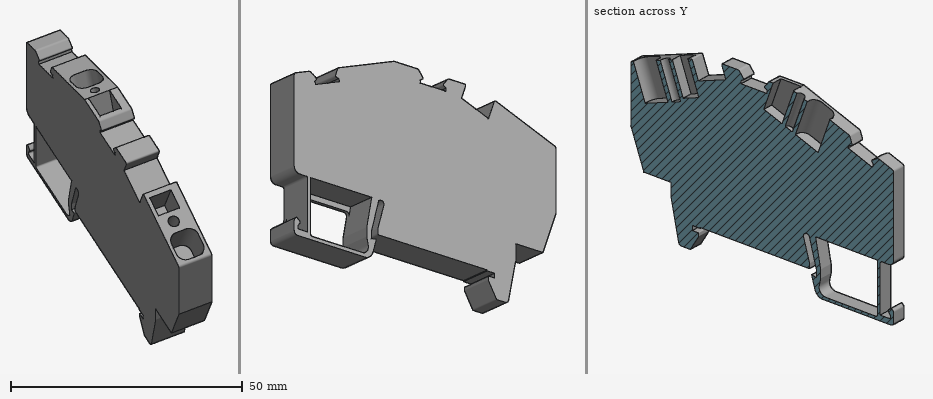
import cadquery as cq
import math

length = 74.0
thickness = 8.0
height = 48.0

slope_deg = 20.0
slope_sin = math.sin(math.radians(slope_deg))
slope_cos = math.cos(math.radians(slope_deg))
slope_tan = slope_sin / slope_cos
ridge_x = 28.2
right_corner_z = 40.2

groove_depth = 3.1
groove_floor_half = 3.59
groove_lip_half = 2.75
groove_lip_z = 1.25
groove_lip_radius = 0.3
groove_undercut_z = 0.7
groove_mouth_half = 4.2
groove_mouth_radius = 0.75
top_groove_x = 39.3
left_groove_distance = 21.1

step_top_x = 48.6
step_depth = 3.8
step_floor_length = 8.1
step_wall_height = 5.2
step_radius = 0.4
right_corner_radius = 0.6
left_corner_radius = 0.7

housing_bottom = 14.5
housing_corner_radius = 1.5
right_side_bottom = 24.6
right_ledge_x = 62.7
rail_seat_z = 6.2

post_left = 3.8
post_right = 4.65
foot_floor = 0.9
hook_floor = 1.55
back_web_thickness = 0.9
loop_web_bottom = 13.2
loop_web_radius = 0.75
latch_x = 20.5
latch_lean_start_z = 7.1
latch_lean_end_x = 21.9
latch_nose_z = 4.9
hook_web_top = 6.2
hook_web_radius = 1.0
hook_left = 0.7
post_corner_radius = 0.4

opening_depth = 9.6
entry_length = 6.65
entry_width = 6.45
entry_radius = 2.1
entry_y = thickness / 2
release_width = 5.1
release_y = 3.5


def rounded_outline(corners):
    """Closed wire on the XZ plane through (x, z, radius) corners; radius 0 leaves a corner sharp."""
    path = None
    for index, (x, z, radius) in enumerate(corners):
        corner = cq.Vector(x, z)
        to_previous = (cq.Vector(*corners[index - 1][:2]) - corner).normalized()
        to_next = (cq.Vector(*corners[(index + 1) % len(corners)][:2]) - corner).normalized()
        half_angle = to_previous.getAngle(to_next) / 2
        setback = radius / math.tan(half_angle)
        start = corner + to_previous * setback
        if path is None:
            path = cq.Workplane("XZ").moveTo(start.x, start.y)
        else:
            path = path.lineTo(start.x, start.y)
        if radius > 0:
            bisector = (to_previous + to_next).normalized()
            middle = corner + bisector * (radius / math.sin(half_angle) - radius)
            end = corner + to_next * setback
            path = path.threePointArc((middle.x, middle.y), (end.x, end.y))
    return path.close()


def plate(corners, front=0.0, back=thickness):
    """Rounded outline extruded along Y from front to back."""
    return rounded_outline(corners).extrude(front - back).translate((0, front, 0))


def groove_corners(surface_x, surface_z, tilt_deg):
    """Corners of a marker groove, left to right, centred on a surface point and tilted with it."""
    left_half = [
        (-groove_mouth_half, 0, groove_mouth_radius),
        (-groove_lip_half, groove_lip_z - groove_depth, groove_lip_radius),
        (-groove_floor_half, groove_undercut_z - groove_depth, 0),
        (-groove_floor_half, -groove_depth, 0),
    ]
    right_half = [(-u, v, radius) for u, v, radius in reversed(left_half)]
    tilt_sin = math.sin(math.radians(tilt_deg))
    tilt_cos = math.cos(math.radians(tilt_deg))
    return [
        (surface_x + u * tilt_cos - v * tilt_sin, surface_z + u * tilt_sin + v * tilt_cos, radius)
        for u, v, radius in left_half + right_half
    ]


step_inner_x = step_top_x - step_depth * slope_sin
step_inner_z = height - step_depth * slope_cos
step_outer_x = step_inner_x + step_floor_length * slope_cos
step_outer_z = step_inner_z - step_floor_length * slope_sin
right_slope_x = step_outer_x + step_wall_height * slope_sin
right_slope_z = right_corner_z + (length - right_slope_x) * slope_tan

left_groove_x = ridge_x - left_groove_distance * slope_cos
left_groove_z = height - left_groove_distance * slope_sin

top_outline = [
    (0, housing_bottom, housing_corner_radius),
    (0, height - ridge_x * slope_tan, left_corner_radius),
    *groove_corners(left_groove_x, left_groove_z, slope_deg),
    (ridge_x, height, 0),
    *groove_corners(top_groove_x, height, 0),
    (step_top_x, height, step_radius),
    (step_inner_x, step_inner_z, 0),
    (step_outer_x, step_outer_z, 0),
    (right_slope_x, right_slope_z, step_radius),
    (length, right_corner_z, right_corner_radius),
    (length, right_side_bottom, 0),
    (length - (right_side_bottom - housing_bottom) * slope_tan, housing_bottom, 0),
    (right_ledge_x, housing_bottom, 0),
]

right_foot_outline = [
    (right_ledge_x, 10.8, 0),
    (60.45, 0, 0.95),
    (57.2, 0, 0.4),
    (54.8, 3.9, 0.3),
    (54.8, 4.9, 0.2),
    (56.6, 4.9, 0),
    (56.6, 6.0, 0),
    (54.55, 6.0, 0),
    (54.55, rail_seat_z, 0),
]

slot_outline = [
    (23.6, rail_seat_z, 0.3),
    (23.6, 7.55, 0),
    (25.6, housing_bottom, 0.78),
    (23.94, housing_bottom, 0.78),
    (21.8, 6.6, 0),
]

left_foot_outline = [
    (21.8, 4.8, 0),
    (23.2, 5.1, 0.15),
    (21.75, 0, 2.4),
    (0, 0, 0.9),
    (0, 3.55, 0.6),
    (hook_left, 4.2, 0.15),
    (1.85, 3.3, 0.45),
    (1.0, 2.3, 0.2),
    (1.0, hook_floor, 0.3),
    (post_left, hook_floor, 0),
    (post_left, housing_bottom, post_corner_radius),
]


def loop_outline(top, top_radius):
    """Opening of the left foot, closed at the given height."""
    latch_lean = (latch_lean_end_x - latch_x) / (housing_bottom - latch_lean_start_z)
    return [
        (post_right, foot_floor, 0.4),
        (post_right, top, top_radius),
        (latch_x + (top - latch_lean_start_z) * latch_lean, top, top_radius),
        (latch_x, latch_lean_start_z, 0),
        (latch_x, latch_nose_z, 0),
        (21.4, foot_floor, 1.8),
    ]


def cut_openings(
    body, upper_x, upper_z, side,
    entry, release, release_length, release_depth, test, test_diameter,
):
    """Cut the conductor entry, release pocket and test hole square to one slope.

    The entry and the test hole share one depth; the release pocket has its own.
    entry, release and test are distances down the slope from its upper end; side is -1 for the
    left slope and 1 for the right one.
    """
    slope = cq.Plane(
        origin=(upper_x, 0, upper_z),
        xDir=(slope_cos, 0, -side * slope_sin),
        normal=(side * slope_sin, 0, slope_cos),
    )
    surface = cq.Workplane(slope)
    conductor_entry = (
        surface.center(side * entry, entry_y)
        .rect(entry_length, entry_width)
        .extrude(-opening_depth)
        .edges(cq.selectors.ParallelDirSelector(slope.zDir))
        .fillet(entry_radius)
    )
    release_pocket = (
        surface.center(side * release, release_y)
        .rect(release_length, release_width)
        .extrude(-release_depth)
    )
    test_hole = (
        surface.center(side * test, release_y)
        .circle(test_diameter / 2)
        .extrude(-opening_depth)
    )
    return body.cut(conductor_entry).cut(release_pocket).cut(test_hole)


body = plate(top_outline + right_foot_outline + slot_outline + left_foot_outline)

web_front = thickness - back_web_thickness
body = body.cut(plate(loop_outline(housing_bottom, 0), 0, web_front))
body = body.cut(plate(loop_outline(loop_web_bottom, loop_web_radius)))

web_blend_top = hook_web_top + hook_web_radius
hook_web_outline = [
    (post_right, hook_floor, 0),
    (post_right, web_blend_top, 0),
    (post_left, web_blend_top, 0),
    (post_left, hook_web_top, hook_web_radius),
    (hook_left, 4.0, 0),
    (hook_left, hook_floor, 0),
]
body = body.union(plate(hook_web_outline, web_front, thickness))

body = cut_openings(
    body, ridge_x, height, side=-1,
    entry=7.5, release=-2.7, release_length=5.3, release_depth=opening_depth, test=2.1, test_diameter=2.0,
)
body = cut_openings(
    body, right_slope_x, right_slope_z, side=1,
    entry=14.2, release=3.6, release_length=4.5, release_depth=8.9, test=8.3, test_diameter=2.45,
)

result = body